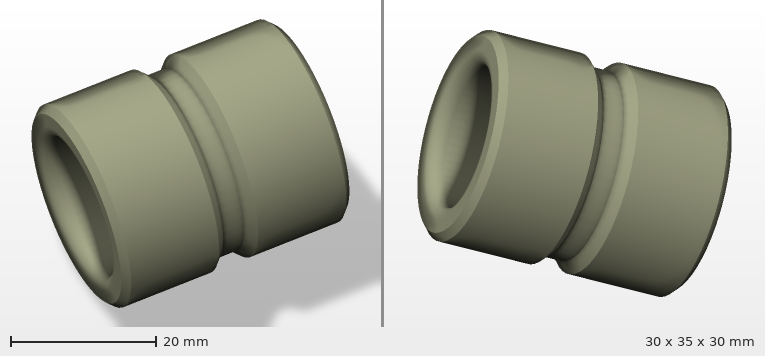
import cadquery as cq

length = 35.0
outer_diameter = 30.0
bore_diameter = 20.0
end_chamfer = 1.0
mouth_radius = 2.0
groove_depth = 1.5
groove_floor_width = 3.0

outer_radius = outer_diameter / 2
groove_top_width = groove_floor_width + 2 * groove_depth


def sleeve():
    """Outer cylinder with both end rims chamfered."""
    body = cq.Workplane("XZ").circle(outer_radius).extrude(length / 2, both=True)
    return body.faces("<Y or >Y").edges().chamfer(end_chamfer)


def groove():
    """Ring with a trapezoid section, centred along the length."""
    floor_radius = outer_radius - groove_depth
    section = (
        cq.Workplane("XY")
        .moveTo(outer_radius, -groove_top_width / 2)
        .lineTo(floor_radius, -groove_floor_width / 2)
        .lineTo(floor_radius, groove_floor_width / 2)
        .lineTo(outer_radius, groove_top_width / 2)
        .close()
    )
    return section.revolve(360, (0, 0, 0), (0, 1, 0))


def bore():
    """Through bore cutter."""
    return cq.Workplane("XZ").circle(bore_diameter / 2).extrude(length, both=True)


bushing = sleeve().cut(groove()).cut(bore())

mouth_edge = cq.selectors.RadiusNthSelector(0)
result = bushing.faces("<Y or >Y").edges(mouth_edge).fillet(mouth_radius)